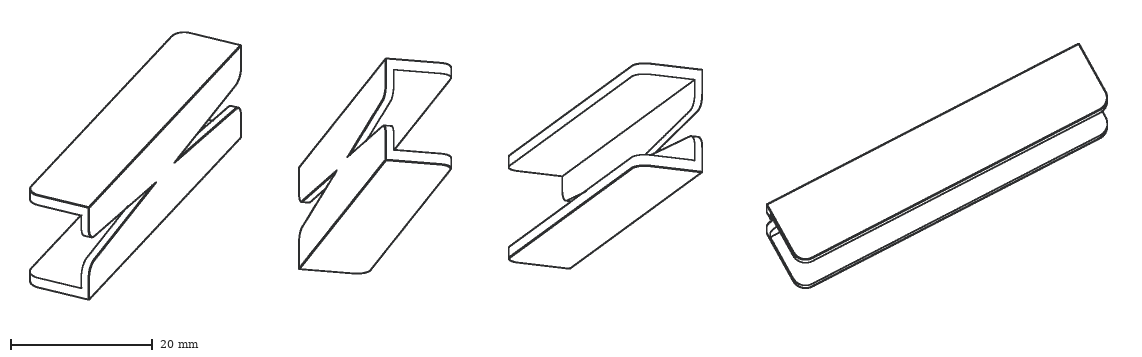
import cadquery as cq

depth = 10.0
length = 50.0
height = 15.2

flange_thickness = 1.65
web_thickness = 1.2

flange_corner_radius = 2.0

notch_depth = 21.0
notch_mouth = 4.1
notch_corner_radius = 2.0

edge_chamfer = 0.1


def make_flange(bottom_z):
    """Flat plate with its two open-side corners rounded."""
    plate = cq.Workplane("XY").box(depth, length, flange_thickness, centered=(True, True, False))
    plate = plate.edges("|Z and <X").fillet(flange_corner_radius)
    return plate.translate((0, 0, bottom_z))


def make_web():
    """Upright plate with a V notch, rounded at the mouth, in each end."""
    half_length = length / 2
    half_height = height / 2
    half_mouth = notch_mouth / 2
    notch_tip = half_length - notch_depth
    outline = [
        (-half_length, -half_height),
        (half_length, -half_height),
        (half_length, -half_mouth),
        (notch_tip, 0),
        (half_length, half_mouth),
        (half_length, half_height),
        (-half_length, half_height),
        (-half_length, half_mouth),
        (-notch_tip, 0),
        (-half_length, -half_mouth),
    ]
    web = cq.Workplane("YZ").polyline(outline).close().extrude(web_thickness)
    mouth_corners = cq.selectors.BoxSelector(
        (-depth, -length, -notch_mouth), (depth, length, notch_mouth)
    )
    web = web.edges("|X").edges(mouth_corners).edges(">Y or <Y").fillet(notch_corner_radius)
    return web.translate((depth / 2 - web_thickness, 0, 0))


lower_flange = make_flange(-height / 2)
upper_flange = make_flange(height / 2 - flange_thickness)
channel = make_web().union(lower_flange).union(upper_flange)

result = channel.faces(">Z or <Z or >X").edges().chamfer(edge_chamfer)